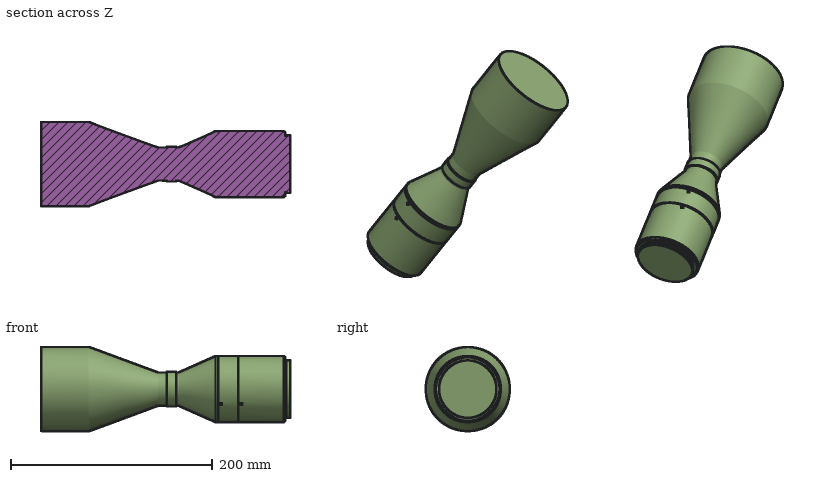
import cadquery as cq

DRUM_END = 47.8
FRONT_CONE_END = 116.2
RING_START = 124.5
RING_END = 134.5
REAR_CONE_START = 136.7
REAR_CONE_END = 173.6
BARREL_JOINTS = (176.0, 196.2)
BARREL_END = 241.2
SHOULDER_END = 242.8
FLANGE_START = 244.2
TOTAL_LENGTH = 247.8

DRUM_RADIUS = 42.0
NECK_RADIUS = 16.7
RING_RADIUS = 17.4
BARREL_RADIUS = 33.1
SHOULDER_RADIUS = BARREL_RADIUS - (SHOULDER_END - BARREL_END)
UNDERCUT_RADIUS = 28.2
FLANGE_RADIUS = 28.8

DRUM_CHAMFER = 0.3
RING_CHAMFER = 0.6
FLANGE_CHAMFER = 0.4
CONE_BLEND_RADIUS = 2.0

JOINT_WIDTH = 0.5
JOINT_DEPTH = 0.6

SCREW_DIAMETER = 2.2
SCREW_DEPTH = 3.0
SCREW_COUNT = 3
SCREW_ANGLE = -3.5
SCREW_STATIONS = (179.0, 199.2)


def turned_body():
    """Revolve the half profile (axial station, radius) about the X axis."""
    profile = [
        (0, 0),
        (0, DRUM_RADIUS - DRUM_CHAMFER),
        (DRUM_CHAMFER, DRUM_RADIUS),
        (DRUM_END, DRUM_RADIUS),
        (FRONT_CONE_END, NECK_RADIUS),
        (RING_START, NECK_RADIUS),
        (RING_START + RING_CHAMFER, RING_RADIUS),
        (RING_END - RING_CHAMFER, RING_RADIUS),
        (RING_END, NECK_RADIUS),
        (REAR_CONE_START, NECK_RADIUS),
        (REAR_CONE_END, BARREL_RADIUS),
        (BARREL_END, BARREL_RADIUS),
        (SHOULDER_END, SHOULDER_RADIUS),
        (SHOULDER_END, UNDERCUT_RADIUS),
        (FLANGE_START, UNDERCUT_RADIUS),
        (FLANGE_START, FLANGE_RADIUS),
        (TOTAL_LENGTH - FLANGE_CHAMFER, FLANGE_RADIUS),
        (TOTAL_LENGTH, FLANGE_RADIUS - FLANGE_CHAMFER),
        (TOTAL_LENGTH, 0),
    ]
    return cq.Workplane("XZ").polyline(profile).close().revolve(360, (0, 0, 0), (1, 0, 0))


def circle_edge(body, station):
    """Circular edges of the body lying in the plane at the given axial station."""
    slack = 0.01
    reach = 2 * DRUM_RADIUS
    box = cq.selectors.BoxSelector(
        (station - slack, -reach, -reach), (station + slack, reach, reach), boundingbox=True
    )
    return body.edges(box).edges("%CIRCLE")


def blend_cones(body):
    """Round the corners where the cones meet the drum and the neck."""
    for station in (DRUM_END, FRONT_CONE_END, REAR_CONE_START):
        body = circle_edge(body, station).fillet(CONE_BLEND_RADIUS)
    return body


def joint_groove(station):
    """Thin ring to remove from the barrel surface, centred on the given axial station."""
    return (
        cq.Workplane("YZ", origin=(station - JOINT_WIDTH / 2, 0, 0))
        .circle(BARREL_RADIUS + JOINT_DEPTH)
        .circle(BARREL_RADIUS - JOINT_DEPTH)
        .extrude(JOINT_WIDTH)
    )


def screw_hole(station, angle):
    """Blind radial hole, turned about the X axis from the +Z direction."""
    return (
        cq.Workplane("XY", origin=(station, 0, BARREL_RADIUS - SCREW_DEPTH))
        .circle(SCREW_DIAMETER / 2)
        .extrude(2 * SCREW_DEPTH)
        .rotate((0, 0, 0), (1, 0, 0), angle)
    )


result = blend_cones(turned_body())
for joint_station in BARREL_JOINTS:
    result = result.cut(joint_groove(joint_station))
for screw_station in SCREW_STATIONS:
    for index in range(SCREW_COUNT):
        result = result.cut(screw_hole(screw_station, SCREW_ANGLE + index * 360 / SCREW_COUNT))